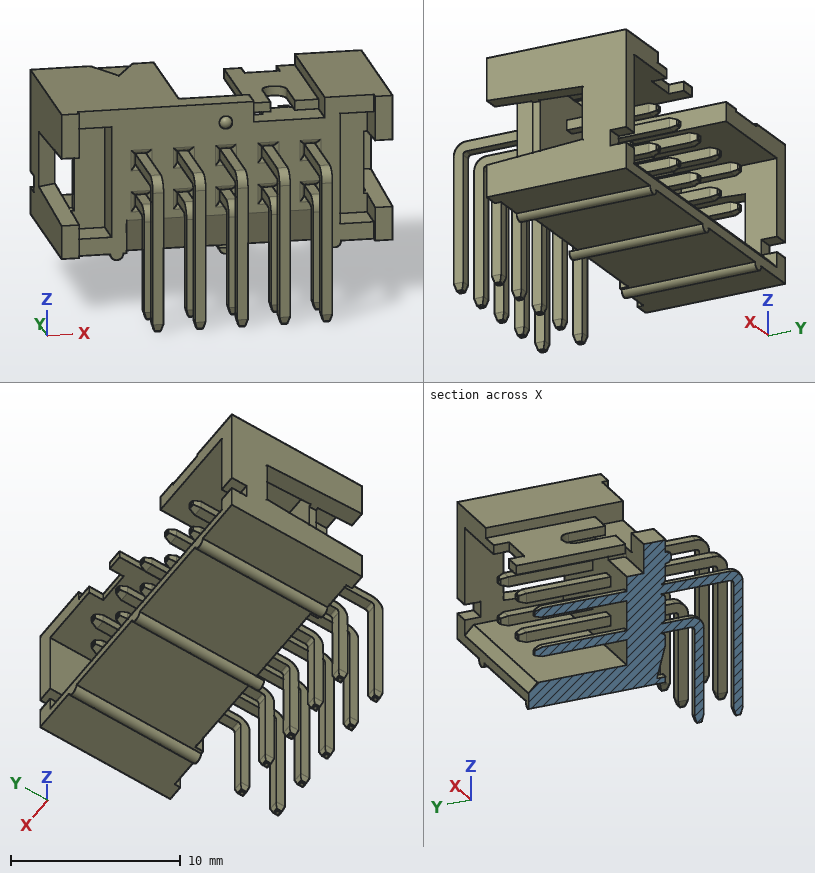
import cadquery as cq
import math


LENGTH = 19.91
HEIGHT = 8.90
FRONT_Y = 8.93
END_WALL = 1.05
EAR_REACH = 0.40
HALF_LENGTH = LENGTH / 2
END_WALL_INNER_X = HALF_LENGTH - END_WALL

LONG_WALL = 1.25
REAR_WALL = 2.54
CAVITY_TOP = HEIGHT - LONG_WALL
LEAD_IN = 0.59

PITCH = 2.54
COLUMNS = 5
PIN = 0.64
BEND_INNER_R = 0.21
BEND_OUTER_R = BEND_INNER_R + PIN
ROW_MID_Z = HEIGHT / 2
PIN_FRONT_Y = 8.54
PIN_BOTTOM_Z = -3.44
TIP_LENGTH = 0.52
TIP_NOSE_LENGTH = 0.08
TIP_NOSE_WIDTH = 0.38
TIP_END_WIDTH = 0.24
OUTER_LEG_Y = -4.72
FUNNEL_WIDTH = 1.26
FUNNEL_R = (FUNNEL_WIDTH - PIN) / 2

WINDOW_REAR_Z = (2.05, 6.18)
WINDOW_FAR_Z = (2.46, 5.79)
WINDOW_LEFT_FAR_Y = 6.40
WINDOW_RIGHT_FAR_Y = 6.00
WINDOW_SLANT = 0.40
WINDOW_INNER_X = 8.71

POCKET_INNER_X = 6.87
POCKET_DEPTH = 2.04

NOTCH_DEPTH = 1.05
NOTCH_BOTTOM = 1.66
NOTCH_TOP = 2.65

KEY_HALF_WIDTH = 2.54
KEY_REAR_Y = 1.44
KEY_FLOOR_Z = 7.00
KEY_CORNER_R = 0.15

TONGUE_X = (1.69, 5.95)
TONGUE_SINK = 0.66
TONGUE_TOP = HEIGHT - TONGUE_SINK
TONGUE_REAR_Y = 1.83
TONGUE_NOTCH_X = (2.73, 4.85)
TONGUE_NOTCH_DEPTH = 1.00
TONGUE_SLOT_X = 3.79
TONGUE_SLOT_R = 0.73
TONGUE_SLOT_END_Y = 4.96

RELIEF_HALF_LENGTH = 5.96
RELIEF_HEIGHT = 2.05
RELIEF_DEPTH = 0.55
RIB_R = 0.39
RIB_X = 6.55
BUMP_R = 0.39
BUMP_Z = 7.72
MARK_X = -2 * PITCH
MARK_WIDTH = 2.54
MARK_LENGTH = 2.25
MARK_DEPTH = 0.15

CLEAR = 1.0


def block(x, y, z):
    """Box spanning the given (low, high) pairs."""
    size = (x[1] - x[0], y[1] - y[0], z[1] - z[0])
    return cq.Workplane("XY").box(*size, centered=False).translate((x[0], y[0], z[0]))


def yz_prism(points, x_low, x_high):
    """Polygon in Y-Z extruded along X."""
    return cq.Workplane("YZ").polyline(points).close().extrude(x_high - x_low).translate((x_low, 0, 0))


def both_ends(tool):
    """The tool together with its mirror image across X = 0."""
    return tool.union(tool.mirror("YZ"))


def shell():
    """Outer block, projecting end walls and the plug cavity with its lead-in."""
    body = block((-HALF_LENGTH, HALF_LENGTH), (0, FRONT_Y), (0, HEIGHT))
    ear = block((END_WALL_INNER_X, HALF_LENGTH), (-EAR_REACH, CLEAR), (0, HEIGHT))
    cavity = yz_prism(
        [
            (REAR_WALL, LONG_WALL),
            (FRONT_Y - LEAD_IN, LONG_WALL),
            (FRONT_Y, LONG_WALL - LEAD_IN),
            (FRONT_Y, CAVITY_TOP),
            (REAR_WALL, CAVITY_TOP),
        ],
        -END_WALL_INNER_X,
        END_WALL_INNER_X,
    )
    return body.union(both_ends(ear)).cut(cavity)


def side_window(outer_far_y):
    """Tapered window in the +X end wall; its far end slants toward +Y going inward."""
    inner_far_y = outer_far_y + WINDOW_SLANT
    prism = yz_prism(
        [
            (-EAR_REACH, WINDOW_REAR_Z[0]),
            (inner_far_y, WINDOW_FAR_Z[0]),
            (inner_far_y, WINDOW_FAR_Z[1]),
            (-EAR_REACH, WINDOW_REAR_Z[1]),
        ],
        WINDOW_INNER_X,
        HALF_LENGTH,
    )
    plan = (
        cq.Workplane("XY")
        .polyline(
            [
                (WINDOW_INNER_X, -EAR_REACH),
                (HALF_LENGTH, -EAR_REACH),
                (HALF_LENGTH, outer_far_y),
                (END_WALL_INNER_X, inner_far_y),
                (WINDOW_INNER_X, inner_far_y),
            ]
        )
        .close()
        .extrude(HEIGHT)
    )
    return prism.intersect(plan)


def rear_pocket():
    """Pocket in the rear face against the +X end wall."""
    return block(
        (POCKET_INNER_X, END_WALL_INNER_X), (-CLEAR, POCKET_DEPTH), (END_WALL, HEIGHT - END_WALL)
    )


def front_notch():
    """Notch in the front edge of the +X end wall."""
    return block(
        (END_WALL_INNER_X, HALF_LENGTH),
        (FRONT_Y - NOTCH_DEPTH, FRONT_Y),
        (NOTCH_BOTTOM, NOTCH_TOP),
    )


def key_slot():
    """Polarizing slot, open to the front, reaching into the rear wall."""
    slot = block((-KEY_HALF_WIDTH, KEY_HALF_WIDTH), (KEY_REAR_Y, FRONT_Y), (KEY_FLOOR_Z, HEIGHT))
    return slot.edges("|Z and <Y").fillet(KEY_CORNER_R)


def tongue_channel():
    """Channel across the top wall in which the tongue lies."""
    return block(TONGUE_X, (0, FRONT_Y), (CAVITY_TOP, HEIGHT))


def tongue():
    """Sunken tongue with a notch in its front edge and a round-ended slot from the rear."""
    plate = block(TONGUE_X, (TONGUE_REAR_Y, FRONT_Y), (CAVITY_TOP, TONGUE_TOP))
    thickness = (CAVITY_TOP, TONGUE_TOP)
    notch = block(TONGUE_NOTCH_X, (FRONT_Y - TONGUE_NOTCH_DEPTH, FRONT_Y), thickness)
    arc_y = TONGUE_SLOT_END_Y - TONGUE_SLOT_R
    slot_x = (TONGUE_SLOT_X - TONGUE_SLOT_R, TONGUE_SLOT_X + TONGUE_SLOT_R)
    slot = block(slot_x, (TONGUE_REAR_Y, arc_y), thickness)
    slot_end = (
        cq.Workplane("XY", origin=(TONGUE_SLOT_X, arc_y, CAVITY_TOP))
        .circle(TONGUE_SLOT_R)
        .extrude(TONGUE_TOP - CAVITY_TOP)
    )
    return plate.cut(notch).cut(slot).cut(slot_end)


def underside_relief():
    """Wedge removed from the lower rear edge below the pin rows."""
    return yz_prism(
        [(0, 0), (RELIEF_DEPTH, 0), (0, RELIEF_HEIGHT)], -RELIEF_HALF_LENGTH, RELIEF_HALF_LENGTH
    )


def pin_one_mark():
    """Shallow triangle in the top face pointing away from the front."""
    half = MARK_WIDTH / 2
    return (
        cq.Workplane("XY", origin=(MARK_X, FRONT_Y, HEIGHT - MARK_DEPTH))
        .polyline([(-half, 0), (half, 0), (0, -MARK_LENGTH)])
        .close()
        .extrude(MARK_DEPTH)
    )


def rib(x):
    """Round stand-off rib along the underside; the half inside the wall is absorbed by it."""
    return cq.Workplane("XZ", origin=(x, FRONT_Y, 0)).circle(RIB_R).extrude(FRONT_Y)


def flare(plane):
    """Long prism on the given plane whose width flares in an arc from the pin to the rear face."""
    half_mouth = FUNNEL_WIDTH / 2
    half_pin = PIN / 2
    arc_offset = FUNNEL_R * math.sqrt(0.5)
    arc_mid = (half_mouth - arc_offset, FUNNEL_R - arc_offset)
    return (
        cq.Workplane(plane)
        .moveTo(-half_mouth, 0)
        .lineTo(half_mouth, 0)
        .threePointArc(arc_mid, (half_pin, FUNNEL_R))
        .lineTo(-half_pin, FUNNEL_R)
        .threePointArc((-arc_mid[0], arc_mid[1]), (-half_mouth, 0))
        .close()
        .extrude(half_mouth, both=True)
    )


def funnel(x, z):
    """Square bell-mouthed funnel in the rear face around a pin."""
    return flare("XY").intersect(flare("ZY")).translate((x, 0, z))


def pin_tip(base):
    """Two-stage tapered pin end growing against the normal of the given workplane."""
    taper_length = TIP_LENGTH - TIP_NOSE_LENGTH
    taper = base.rect(PIN, PIN).workplane(offset=-taper_length).rect(TIP_NOSE_WIDTH, TIP_NOSE_WIDTH).loft()
    nose = (
        base.workplane(offset=-taper_length)
        .rect(TIP_NOSE_WIDTH, TIP_NOSE_WIDTH)
        .workplane(offset=-TIP_NOSE_LENGTH)
        .rect(TIP_END_WIDTH, TIP_END_WIDTH)
        .loft()
    )
    return taper.union(nose)


def pin(x, z, leg_y):
    """Square pin bent down at a right angle, pointed at both ends."""
    half = PIN / 2
    level_end_y = PIN_FRONT_Y - TIP_LENGTH
    leg_end_z = PIN_BOTTOM_Z + TIP_LENGTH
    bend_y = leg_y + half + BEND_INNER_R
    bend_z = z - half - BEND_INNER_R
    level = block((x - half, x + half), (bend_y, level_end_y), (z - half, z + half))
    leg = block((x - half, x + half), (leg_y - half, leg_y + half), (leg_end_z, bend_z))
    bend_box = block(
        (x - half, x + half), (bend_y - BEND_OUTER_R, bend_y), (bend_z, bend_z + BEND_OUTER_R)
    )
    bend_ring = (
        cq.Workplane("YZ", origin=(x - half, bend_y, bend_z))
        .circle(BEND_OUTER_R)
        .circle(BEND_INNER_R)
        .extrude(PIN)
    )
    bend = bend_ring.intersect(bend_box)
    front_tip = pin_tip(cq.Workplane("XZ", origin=(x, level_end_y, z)))
    leg_tip = pin_tip(cq.Workplane("XY", origin=(x, leg_y, leg_end_z)))
    return level.union(bend).union(leg).union(front_tip).union(leg_tip)


housing = shell()
housing = housing.cut(side_window(WINDOW_RIGHT_FAR_Y))
housing = housing.cut(side_window(WINDOW_LEFT_FAR_Y).mirror("YZ"))
for end_tool in (rear_pocket(), front_notch()):
    housing = housing.cut(both_ends(end_tool))
housing = housing.cut(key_slot()).cut(tongue_channel()).union(tongue())
housing = housing.cut(pin_one_mark())

for rib_x in (-RIB_X, 0, RIB_X):
    housing = housing.union(rib(rib_x))
housing = housing.cut(underside_relief())
housing = housing.union(cq.Workplane("XY").sphere(BUMP_R).translate((0, 0, BUMP_Z)))

rows = (
    (ROW_MID_Z + PITCH / 2, OUTER_LEG_Y),
    (ROW_MID_Z - PITCH / 2, OUTER_LEG_Y + PITCH),
)
column_x = [(i - (COLUMNS - 1) / 2) * PITCH for i in range(COLUMNS)]
for row_z, _ in rows:
    for x in column_x:
        housing = housing.cut(funnel(x, row_z))
for row_z, leg_y in rows:
    for x in column_x:
        housing = housing.union(pin(x, row_z, leg_y))

result = housing